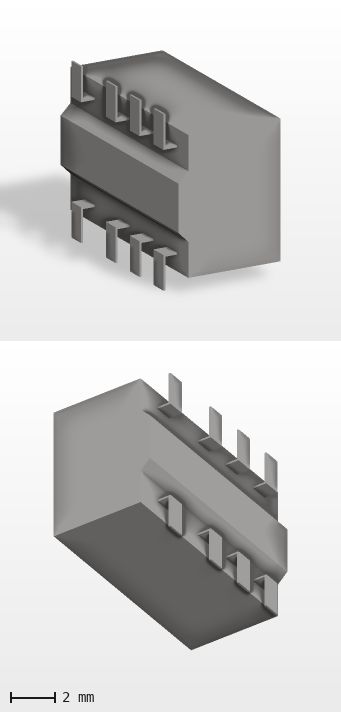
import cadquery as cq

body_length = 10.9
body_height = 6.8
block_depth = 4.75
ridge_depth = 0.51
ridge_base_height = 3.37
ridge_top_height = 2.34

terminal_span = 8.4
terminal_width = 0.9
terminal_thickness = 0.1
terminal_foot_length = 1.7
terminal_reach = 0.71
first_terminal_x = -3.65
wide_pitch = 3.2
close_pitch = 2.2
close_terminals = 3

overall_depth = block_depth + terminal_reach
back_y = overall_depth / 2
face_y = back_y - block_depth
terminal_front_y = face_y - terminal_reach
second_terminal_x = first_terminal_x + wide_pitch
terminal_positions = [first_terminal_x] + [second_terminal_x + i * close_pitch for i in range(close_terminals)]


def make_housing():
    """Extrude the YZ section of the block and its ridge along X."""
    ridge_y = face_y - ridge_depth
    half_height = body_height / 2
    half_base = ridge_base_height / 2
    half_top = ridge_top_height / 2
    section = [
        (back_y, -half_height),
        (back_y, half_height),
        (face_y, half_height),
        (face_y, half_base),
        (ridge_y, half_top),
        (ridge_y, -half_top),
        (face_y, -half_base),
        (face_y, -half_height),
    ]
    return cq.Workplane("YZ").polyline(section).close().extrude(body_length / 2, both=True)


def make_terminal(center_x, side):
    """One L-shaped terminal; side is +1 for the upper row and -1 for the lower row."""
    tip_z = side * terminal_span / 2
    heel_z = tip_z - side * terminal_foot_length
    leg_z = heel_z + side * terminal_thickness
    foot_back_y = terminal_front_y + terminal_thickness
    section = [
        (face_y, heel_z),
        (terminal_front_y, heel_z),
        (terminal_front_y, tip_z),
        (foot_back_y, tip_z),
        (foot_back_y, leg_z),
        (face_y, leg_z),
    ]
    return (
        cq.Workplane("YZ", origin=(center_x, 0, 0))
        .polyline(section)
        .close()
        .extrude(terminal_width / 2, both=True)
    )


result = make_housing()
for center_x in terminal_positions:
    for side in (1, -1):
        result = result.union(make_terminal(center_x, side))